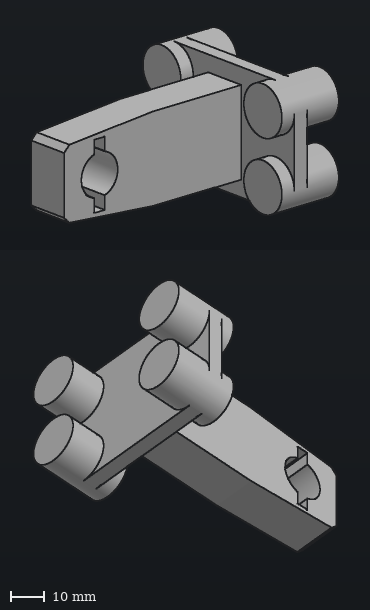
import cadquery as cq

total_length = 87.5

peg_diameter = 17.0
peg_length = 22.5
peg_spacing_x = 45.1
peg_spacing_z = 24.1

plate_thickness = 5.1
plate_setback = 12.5
plate_width = peg_spacing_x + peg_diameter
plate_height = peg_spacing_z + peg_diameter
plate_back_y = total_length - plate_setback
plate_front_y = plate_back_y - plate_thickness

arm_width = 14.7
arm_root_height = 29.75
arm_tip_height = 24.6
taper_start_y = 35.1
tip_chamfer = 2.1

hole_diameter = 14.35
hole_y = 14.0
key_width = 4.0
key_height = 23.0


def xz_plane(y):
    """Plane at the given Y whose extrusions run toward -Y."""
    return cq.Workplane("XZ", origin=(0, y, 0))


def make_pegs():
    return (
        xz_plane(total_length)
        .rect(peg_spacing_x, peg_spacing_z, forConstruction=True)
        .vertices()
        .circle(peg_diameter / 2)
        .extrude(peg_length)
    )


def make_plate():
    """Cross-shaped plate reaching the outer tangents of the pegs, which round its corners."""
    tall_panel = xz_plane(plate_back_y).rect(peg_spacing_x, plate_height).extrude(plate_thickness)
    wide_panel = xz_plane(plate_back_y).rect(plate_width, peg_spacing_z).extrude(plate_thickness)
    return tall_panel.union(wide_panel)


def make_arm():
    root_half = arm_root_height / 2
    tip_half = arm_tip_height / 2
    nose_half = tip_half - tip_chamfer
    return (
        cq.Workplane("YZ")
        .moveTo(plate_front_y, root_half)
        .lineTo(taper_start_y, root_half)
        .lineTo(tip_chamfer, tip_half)
        .lineTo(0, nose_half)
        .lineTo(0, -nose_half)
        .lineTo(tip_chamfer, -tip_half)
        .lineTo(taper_start_y, -root_half)
        .lineTo(plate_front_y, -root_half)
        .close()
        .extrude(arm_width / 2, both=True)
    )


def make_keyed_hole():
    hole_plane = cq.Workplane("YZ", origin=(0, hole_y, 0))
    bore = hole_plane.circle(hole_diameter / 2).extrude(arm_width, both=True)
    keys = hole_plane.rect(key_width, key_height).extrude(arm_width, both=True)
    return bore.union(keys)


arm = make_arm().cut(make_keyed_hole())
result = make_plate().union(make_pegs()).union(arm)